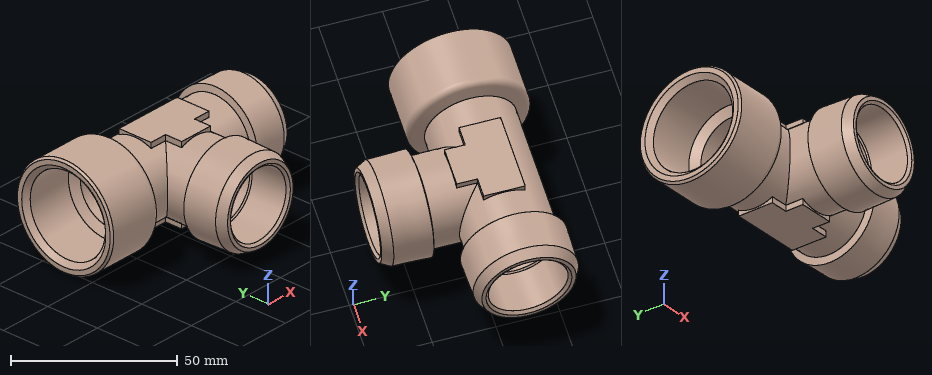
import cadquery as cq
import math

run_length = 84.0
male_reach = 39.0
centre_x = run_length - male_reach

tube_radius = 29.0 / 2
bore_radius = 24.0 / 2

socket_radius = 39.0 / 2
socket_edge_chamfer = 0.75
socket_back = 22.35
socket_back_slope = 18.0
socket_back_fillet = 2.2
socket_bore_radius = 30.3 / 2
socket_bore_depth = 19.0
socket_mouth_radius = 17.0
socket_mouth_depth = socket_mouth_radius - socket_bore_radius
socket_floor_depth = 20.8

male_length = 16.4
male_back_depth = 0.6
male_shoulder_radius = 16.9
male_front_radius = 16.55
male_tip_radius = 14.8
male_tip_length = 3.3
male_bore_radius = 25.0 / 2
male_bore_depth = 14.6
male_mouth_radius = 13.4
male_mouth_depth = 0.9
male_floor_depth = male_bore_depth + male_bore_radius - bore_radius

pad_width = 26.0
pad_half_depth = pad_width / 4
pad_stem_width = pad_width / 2
pad_stem_reach = pad_width / 2
pad_half_height = 15.0


def revolve_about_x(points):
    """Turn a closed (axial, radius) outline about the X axis."""
    return cq.Workplane("XY").polyline(points).close().revolve(360, (0, 0, 0), (1, 0, 0))


def turn_to_branch(shape):
    """Turn a +X arm to point toward -Y."""
    return shape.rotate((0, 0, 0), (0, 0, 1), -90)


def male_arm():
    """Solid arm from the tee centre along +X."""
    shoulder = male_reach - male_length
    return revolve_about_x([
        (0, 0),
        (0, tube_radius),
        (shoulder, tube_radius),
        (shoulder + male_back_depth, male_shoulder_radius),
        (male_reach - male_tip_length, male_front_radius),
        (male_reach, male_tip_radius),
        (male_reach, 0),
    ])


def male_bore():
    """Stepped bore from the tee centre out through a male end."""
    return revolve_about_x([
        (0, 0),
        (0, bore_radius),
        (male_reach - male_floor_depth, bore_radius),
        (male_reach - male_bore_depth, male_bore_radius),
        (male_reach - male_mouth_depth, male_bore_radius),
        (male_reach, male_mouth_radius),
        (male_reach, 0),
    ])


def socket_arm():
    """Solid socket and its tube, reaching to the tee centre."""
    slope = math.radians(socket_back_slope)
    back_edge = socket_back - (socket_radius - tube_radius) * math.tan(slope)
    turn = math.pi / 2 - slope
    tangent_length = socket_back_fillet * math.tan(turn / 2)
    fillet_start = back_edge - tangent_length

    def fillet_point(angle):
        return (fillet_start + socket_back_fillet * math.sin(angle),
                socket_radius - socket_back_fillet * (1 - math.cos(angle)))

    return (
        cq.Workplane("XY")
        .lineTo(0, socket_radius - socket_edge_chamfer)
        .lineTo(socket_edge_chamfer, socket_radius)
        .lineTo(fillet_start, socket_radius)
        .threePointArc(fillet_point(turn / 2), fillet_point(turn))
        .lineTo(socket_back, tube_radius)
        .lineTo(centre_x, tube_radius)
        .lineTo(centre_x, 0)
        .close()
        .revolve(360, (0, 0, 0), (1, 0, 0))
        .translate((-centre_x, 0, 0))
    )


def socket_bore():
    """Chamfered socket bore with a conical floor, reaching to the tee centre."""
    return revolve_about_x([
        (0, 0),
        (0, socket_mouth_radius),
        (socket_mouth_depth, socket_bore_radius),
        (socket_bore_depth, socket_bore_radius),
        (socket_floor_depth, bore_radius),
        (centre_x, bore_radius),
        (centre_x, 0),
    ]).translate((-centre_x, 0, 0))


def pads():
    """T-shaped block whose top and bottom stand proud of the tubes."""
    cross = cq.Workplane("XY").box(pad_width, 2 * pad_half_depth, 2 * pad_half_height)
    stem = (
        cq.Workplane("XY")
        .box(pad_stem_width, pad_stem_reach, 2 * pad_half_height)
        .translate((0, -pad_stem_reach / 2, 0))
    )
    return cross.union(stem)


body = socket_arm().union(male_arm()).union(turn_to_branch(male_arm())).union(pads())
for bore in (socket_bore(), male_bore(), turn_to_branch(male_bore())):
    body = body.cut(bore)

result = body.translate((centre_x, 0, 0))